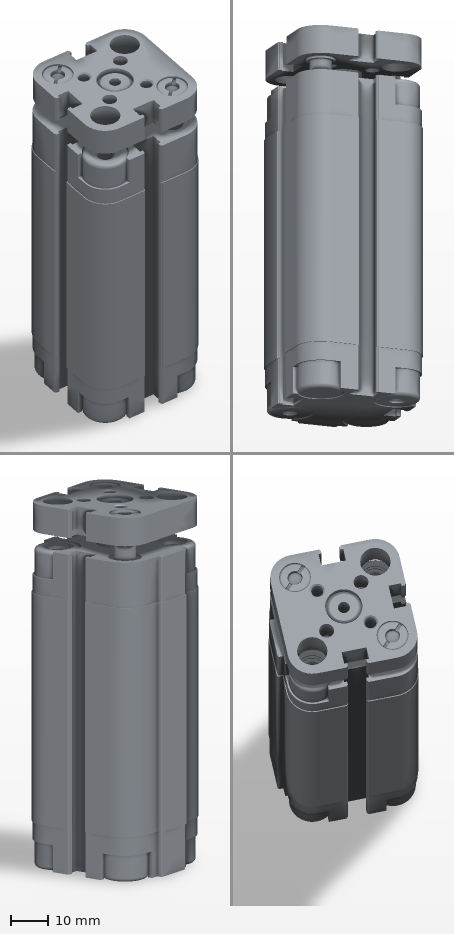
import cadquery as cq
import math

total_height = 100.5
housing_height = 88.2
cap_height = 12.5
plate_thickness = 7.75
plate_bottom = total_height - plate_thickness
corner_pitch = 11.0

body_half = 18.0
cap_inset = 0.25
cap_half = body_half - cap_inset
plate_half = 17.65

slot_neck_width = 5.2
slot_mouth_rounding = 0.35
slot_inner_width = 6.8
slot_floor = 13.0
slot_lip_end = 16.4

rail_width = 11.6
rail_top = 19.5
rail_chamfer = 0.3

post_diameter = 12.5
post_fillet = 1.0
top_notch_height = 7.7
bottom_notch_height = 7.4
post_sink = 0.15
notch_start = 7.9
post_recess_diameter = 8.4
post_recess_depth = 0.3
screw_seat_diameter = 7.2
screw_seat_depth = 0.3
thread_hole_diameter = 4.13
thread_chamfer = 0.6

guide_diameter = 6.0
collar_diameter = 8.0
collar_height = 0.6
bearing_recess_diameter = 9.0
bearing_recess_depth = 0.4
screw_diameter = 8.5
screw_sink = 0.25
screw_chamfer = 0.35
core_diameter = 4.0
core_sink = 0.9
core_chamfer = 0.35
screw_slot_width = 1.0
screw_slot_depth = 0.8

rod_diameter = 10.0
rod_flat_width = 9.0
rod_shoulder = 0.4
rod_tip_diameter = 9.0
rod_tip_sink = 0.7
rod_tip_chamfer = 0.6
rod_recess_depth = 1.6
rod_thread_diameter = 3.24
rod_thread_depth = 8.0

clearance_diameter = 8.1
small_hole_pitch = 6.0
tap_hole_diameter = 3.24
tap_chamfer = 0.4
dowel_diameter = 4.0

guide_places = [(-corner_pitch, -corner_pitch), (corner_pitch, corner_pitch)]
screw_places = [(-corner_pitch, corner_pitch), (corner_pitch, -corner_pitch)]
rod_bottom = housing_height - cap_height


def cylinder(diameter, place, bottom, top):
    return cq.Workplane("XY", origin=(*place, bottom)).circle(diameter / 2).extrude(top - bottom)


def countersink(place, hole_diameter, chamfer, top):
    """Cone cutter that breaks the upper edge of a hole by the chamfer."""
    hole_radius = hole_diameter / 2
    cone = cq.Solid.makeCone(hole_radius, hole_radius + chamfer, chamfer)
    return cq.Workplane(cone.translate(cq.Vector(*place, top - chamfer)))


def sunk_end(place, diameter, top, chamfer):
    """Cutter that leaves a chamfered round end standing at the given level below the plate's face."""
    radius = diameter / 2
    end = cq.Solid.makeCone(radius, radius - chamfer, chamfer)
    end = end.translate(cq.Vector(*place, top - chamfer))
    return cylinder(diameter, place, top - chamfer, total_height).cut(cq.Workplane(end))


def t_slot(face, bottom, height):
    """T-slot cutter that opens towards -Y through a face at the given distance, with a rounded mouth."""
    neck = slot_neck_width / 2
    inner = slot_inner_width / 2
    mouth = neck + slot_mouth_rounding
    outside = body_half + 1
    return (
        cq.Workplane("XY", origin=(0, 0, bottom))
        .moveTo(-mouth, -outside)
        .lineTo(-mouth, -face)
        .radiusArc((-neck, -face + slot_mouth_rounding), slot_mouth_rounding)
        .lineTo(-neck, -slot_lip_end)
        .lineTo(-inner, -slot_lip_end)
        .lineTo(-inner, -slot_floor)
        .lineTo(inner, -slot_floor)
        .lineTo(inner, -slot_lip_end)
        .lineTo(neck, -slot_lip_end)
        .lineTo(neck, -face + slot_mouth_rounding)
        .radiusArc((mouth, -face), slot_mouth_rounding)
        .lineTo(mouth, -outside)
        .close()
        .extrude(height)
    )


def slotted_block(half, bottom, height):
    """Square block with round vertical edges and a T-slot in its -X, -Y and +X faces."""
    block = (
        cq.Workplane("XY", origin=(0, 0, bottom))
        .rect(2 * half, 2 * half)
        .extrude(height)
        .edges("|Z")
        .fillet(half - corner_pitch)
    )
    slot = t_slot(half, bottom, height)
    for angle in (-90, 0, 90):
        block = block.cut(slot.rotate((0, 0, 0), (0, 0, 1), angle))
    return block


def rail(inset, bottom, height):
    """Rail on the +Y face, rooted inside the block and pulled in by the inset."""
    root = slot_floor
    top = rail_top - inset
    return (
        cq.Workplane("XY", origin=(0, (root + top) / 2, bottom))
        .rect(rail_width - 2 * inset, top - root)
        .extrude(height)
        .edges("|Z and >Y")
        .chamfer(rail_chamfer)
    )


def add_corner_post(body, place, at_top):
    """Notch one cap corner and set a round post with a rounded outer rim into the notch."""
    x_side = math.copysign(1, place[0])
    y_side = math.copysign(1, place[1])
    if at_top:
        bottom = housing_height - top_notch_height
        top = housing_height
        post = cylinder(post_diameter, place, bottom, top - post_sink)
        post = post.faces(">Z").edges().fillet(post_fillet)
    else:
        bottom = 0
        top = bottom_notch_height
        post = cylinder(post_diameter, place, bottom, top)
        post = post.faces("<Z").edges().fillet(post_fillet)

    notch_middle = notch_start + body_half / 2
    notch = (
        cq.Workplane("XY", origin=(x_side * notch_middle, y_side * notch_middle, bottom))
        .rect(body_half, body_half)
        .extrude(top - bottom)
    )
    seat = cylinder(post_diameter, place, bottom, top)
    return body.cut(notch).cut(seat).union(post)


def make_housing():
    barrel_height = housing_height - 2 * cap_height
    upper_cap_bottom = housing_height - cap_height
    lower_cap = slotted_block(cap_half, 0, cap_height).union(rail(cap_inset, 0, cap_height))
    barrel = slotted_block(body_half, cap_height, barrel_height).union(rail(0, cap_height, barrel_height))
    upper_cap = slotted_block(cap_half, upper_cap_bottom, cap_height)
    upper_cap = upper_cap.union(rail(cap_inset, upper_cap_bottom, cap_height))
    body = lower_cap.union(barrel).union(upper_cap)

    for place in screw_places:
        body = add_corner_post(body, place, at_top=True)
    for place in guide_places + screw_places:
        body = add_corner_post(body, place, at_top=False)

    for place in screw_places:
        recess_floor = housing_height - post_sink - post_recess_depth
        seat_floor = recess_floor - screw_seat_depth
        body = body.cut(cylinder(post_recess_diameter, place, recess_floor, housing_height))
        body = body.cut(cylinder(screw_seat_diameter, place, seat_floor, recess_floor))
        hole = cylinder(thread_hole_diameter, place, 0, seat_floor)
        body = body.cut(hole).cut(countersink(place, thread_hole_diameter, thread_chamfer, seat_floor))

    for place in guide_places:
        recess_floor = housing_height - bearing_recess_depth
        body = body.cut(cylinder(bearing_recess_diameter, place, recess_floor, housing_height))
        body = body.cut(cylinder(guide_diameter, place, rod_bottom, housing_height))
    return body.cut(cylinder(rod_diameter, (0, 0), rod_bottom, housing_height))


def make_moving_plate():
    body = slotted_block(plate_half, plate_bottom, plate_thickness)
    for place in screw_places:
        body = body.cut(cylinder(clearance_diameter, place, plate_bottom, total_height))

    for side in (-1, 1):
        offset = side * small_hole_pitch
        body = body.cut(cylinder(dowel_diameter, (offset, -offset), plate_bottom, total_height))
        thread = cylinder(tap_hole_diameter, (offset, offset), plate_bottom, total_height)
        body = body.cut(thread).cut(countersink((offset, offset), tap_hole_diameter, tap_chamfer, total_height))

    body = body.union(cylinder(rod_diameter, (0, 0), rod_bottom, plate_bottom))
    flat_bottom = housing_height + rod_shoulder
    flats = (
        cq.Workplane("XY", origin=(0, 0, flat_bottom))
        .pushPoints([(0, -rod_flat_width), (0, rod_flat_width)])
        .rect(2 * rod_diameter, rod_flat_width)
        .extrude(plate_bottom - flat_bottom)
    )
    body = body.cut(flats)
    recess_floor = total_height - rod_recess_depth
    body = body.cut(cylinder(rod_diameter, (0, 0), recess_floor, total_height))
    tip = cylinder(rod_tip_diameter, (0, 0), recess_floor, total_height - rod_tip_sink)
    body = body.union(tip.faces(">Z").chamfer(rod_tip_chamfer))
    body = body.cut(cylinder(rod_thread_diameter, (0, 0), total_height - rod_thread_depth, total_height))

    for place in guide_places:
        body = body.union(cylinder(guide_diameter, place, rod_bottom, plate_bottom))
        body = body.union(cylinder(collar_diameter, place, plate_bottom - collar_height, plate_bottom))
        screw_top = total_height - screw_sink
        core_top = screw_top - core_sink
        body = body.cut(sunk_end(place, screw_diameter, screw_top, screw_chamfer))
        body = body.cut(sunk_end(place, core_diameter, core_top, core_chamfer))
        slot = (
            cq.Workplane("XY", origin=(*place, screw_top - screw_slot_depth))
            .rect(screw_diameter, screw_slot_width)
            .extrude(screw_slot_depth)
            .rotate((*place, 0), (*place, 1), -45)
        )
        body = body.cut(slot)
    return body


housing = make_housing()
moving_plate = make_moving_plate()
result = cq.Compound.makeCompound([housing.val(), moving_plate.val()])